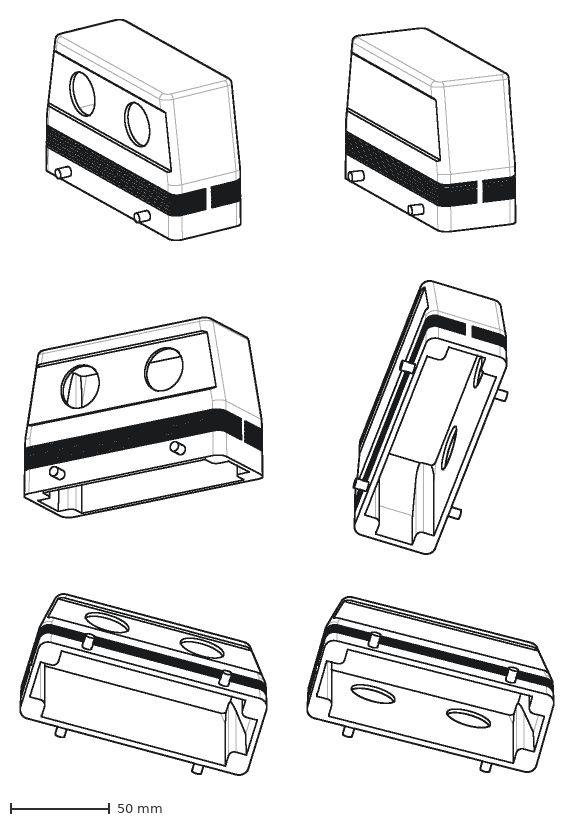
import cadquery as cq
import math

LENGTH = 120.0
WIDTH = 43.0
HEIGHT = 76.0
CORNER_RADIUS = 5.0
TOP_FILLET = 2.5

SKIRT_HEIGHT = 30.0
SKIRT_DRAFT = 1.0
UPPER_DRAFT = 10.0

WALL = 3.0
CAVITY_CORNER_RADIUS = 3.0

POST_INNER_X = 48.4
POST_INNER_Y = 9.8
POST_EDGE_RADIUS = 3.0

RECESS_BOTTOM = 36.0
RECESS_TOP = 68.0
RECESS_DEPTH = 1.0

GROOVE_COUNT = 6
GROOVE_PITCH = 2.0
GROOVE_MOUTH = 1.5
GROOVE_FLOOR = 0.5
GROOVE_DEPTH = 1.0
GRIP_MIDDLE_HEIGHT = 19.0
GRIP_GAP = 3.8
CUTTER_MARGIN = 1.0

ENTRY_DIAMETER = 22.8
ENTRY_SPACING = 50.0
ENTRY_HEIGHT = 52.0

PIN_DIAMETER = 5.0
PIN_SPACING = 72.0
PIN_HEIGHT = 6.5
PIN_TIP_SPAN = 56.0

half_length = LENGTH / 2
skirt_top_half = half_length - SKIRT_HEIGHT * math.tan(math.radians(SKIRT_DRAFT))
roof_half = skirt_top_half - (HEIGHT - SKIRT_HEIGHT) * math.tan(math.radians(UPPER_DRAFT))


def end_slope_block(inset, width, top):
    """Tapered block with its end walls moved inward by inset, from Z = 0 to top."""
    top_half = roof_half + (HEIGHT - top) * math.tan(math.radians(UPPER_DRAFT))
    profile = [
        (-half_length + inset, 0),
        (half_length - inset, 0),
        (skirt_top_half - inset, SKIRT_HEIGHT),
        (top_half - inset, top),
        (-top_half + inset, top),
        (-skirt_top_half + inset, SKIRT_HEIGHT),
    ]
    return cq.Workplane("XZ").polyline(profile).close().extrude(width / 2, both=True)


def round_end_corners(block, radius):
    """Round the four upright corners, on the skirt and on the slope above it."""
    return block.edges("(not #Z) and (not |Y)").fillet(radius)


def make_corner_posts():
    """Four upright columns, with the edge facing the middle of the hood rounded."""
    post_x = half_length - POST_INNER_X
    post_y = WIDTH / 2 - POST_INNER_Y
    post = (
        cq.Workplane("XY")
        .box(post_x, post_y, HEIGHT, centered=False)
        .translate((POST_INNER_X, POST_INNER_Y, 0))
        .edges("|Z and <X and <Y")
        .fillet(POST_EDGE_RADIUS)
    )
    pair = post.union(post.mirror("YZ"))
    return pair.union(pair.mirror("XZ"))


def make_cavity():
    cavity = end_slope_block(WALL, WIDTH - 2 * WALL, HEIGHT - WALL)
    cavity = round_end_corners(cavity, CAVITY_CORNER_RADIUS)
    return cavity.cut(make_corner_posts())


def make_shell():
    outer = round_end_corners(end_slope_block(0, WIDTH, HEIGHT), CORNER_RADIUS)
    outer = outer.faces(">Z").edges().fillet(TOP_FILLET)
    return outer.cut(make_cavity())


def make_side_recess(side):
    """Full-length trapezoidal bar that recesses one long side; side is -1 or 1."""
    face_y = side * WIDTH / 2
    floor_y = side * (WIDTH / 2 - RECESS_DEPTH)
    profile = [
        (face_y, RECESS_BOTTOM),
        (floor_y, RECESS_BOTTOM + RECESS_DEPTH),
        (floor_y, RECESS_TOP - RECESS_DEPTH),
        (face_y, RECESS_TOP),
    ]
    return cq.Workplane("YZ").polyline(profile).close().extrude(half_length, both=True)


def skirt_section(z):
    outline = cq.Sketch().rect(LENGTH, WIDTH).vertices().fillet(CORNER_RADIUS)
    return cq.Workplane("XY", origin=(0, 0, z)).placeSketch(outline)


def grip_slab(bottom, height, width):
    """Slab centred on the hood that overhangs both ends."""
    return (
        cq.Workplane("XY", origin=(0, 0, bottom))
        .rect(LENGTH + 2 * CUTTER_MARGIN, width)
        .extrude(height)
    )


def make_groove(middle_z):
    """Ring-shaped groove cutter, wide at the mouth and narrow at the floor."""
    flank_height = (GROOVE_MOUTH - GROOVE_FLOOR) / 2
    flank_taper = math.degrees(math.atan2(GROOVE_DEPTH, flank_height))
    bottom = middle_z - GROOVE_MOUTH / 2
    top = middle_z + GROOVE_MOUTH / 2
    lower_flank = skirt_section(bottom).extrude(flank_height, taper=flank_taper)
    upper_flank = skirt_section(top).extrude(-flank_height, taper=flank_taper)
    floor = lower_flank.faces(">Z").wires().toPending().extrude(GROOVE_FLOOR, combine=False)
    slab = grip_slab(bottom, GROOVE_MOUTH, WIDTH + 2 * CUTTER_MARGIN)
    return slab.cut(lower_flank).cut(floor).cut(upper_flank)


def cut_grip(body):
    """Cut the grooves, leaving a plain strip up the middle of each end."""
    plain_strip = grip_slab(0, SKIRT_HEIGHT, GRIP_GAP)
    lowest_z = GRIP_MIDDLE_HEIGHT - (GROOVE_COUNT - 1) * GROOVE_PITCH / 2
    for index in range(GROOVE_COUNT):
        groove = make_groove(lowest_z + index * GROOVE_PITCH)
        body = body.cut(groove.cut(plain_strip))
    return body


def make_cable_entries():
    return (
        cq.Workplane("XZ")
        .pushPoints([(-ENTRY_SPACING / 2, ENTRY_HEIGHT), (ENTRY_SPACING / 2, ENTRY_HEIGHT)])
        .circle(ENTRY_DIAMETER / 2)
        .extrude(WIDTH / 2)
    )


def make_pins(side):
    """Pair of pins reaching outward from inside one long wall; side is -1 or 1."""
    root_y = side * (WIDTH / 2 - WALL)
    pin_length = PIN_TIP_SPAN / 2 - (WIDTH / 2 - WALL)
    return (
        cq.Workplane("XZ", origin=(0, root_y, 0))
        .pushPoints([(-PIN_SPACING / 2, PIN_HEIGHT), (PIN_SPACING / 2, PIN_HEIGHT)])
        .circle(PIN_DIAMETER / 2)
        .extrude(-side * pin_length)
    )


result = cut_grip(make_shell()).cut(make_cable_entries())
for side in (-1, 1):
    result = result.cut(make_side_recess(side)).union(make_pins(side))